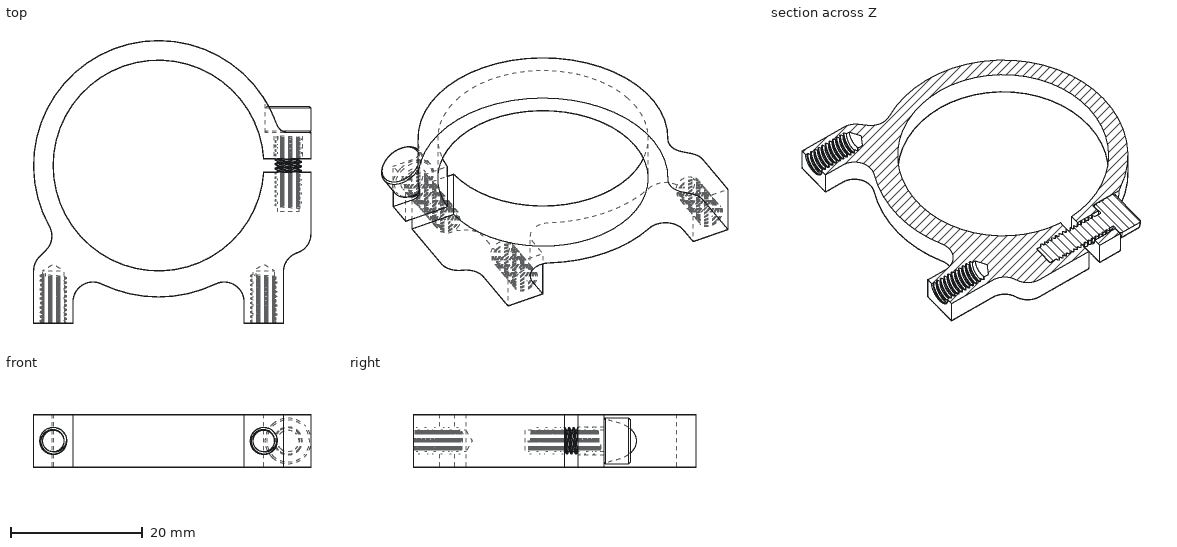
import cadquery as cq
import math

thickness = 8.0
bore_radius = 16.0
ring_radius = 19.0
lower_ring_radius = 20.0
gap = 2.0

base_y = -24.0
leg_width = 6.0
leg_outer_x = ring_radius
leg_inner_x = leg_outer_x - leg_width
leg_centre_x = leg_outer_x - leg_width / 2
shoulder_y = -14.75
blend_radius = 3.0

ear_x = 23.18
ear_top_y = 5.0
ear_fillet = 2.0
lobe_round_y = -10.4

thread_radius = 2.0
thread_core_radius = 1.65
pitch = 0.7
ridge_root_width = 0.55
ridge_crest_width = 0.15
ridge_overlap = 0.1

tapped_depth = 8.0
drill_tip_angle = 118
countersink_radius = 2.05

head_radius = 3.5
head_height = 4.0
head_chamfer = 0.25
shank_length = 12.0
clearance_radius = 2.15
screw_x = ear_x - head_radius


def polar(centre, radius, degrees):
    """Point on a circle at the given angle."""
    angle = math.radians(degrees)
    return centre[0] + radius * math.cos(angle), centre[1] + radius * math.sin(angle)


def direction(start, end):
    """Angle in degrees from one point to another, in the range 0 to 360."""
    return math.degrees(math.atan2(end[1] - start[1], end[0] - start[0])) % 360


def add_arc(path, centre, radius, start, end):
    """Line to the start of an arc, unless already there, then follow the arc."""
    first = polar(centre, radius, start)
    if math.dist(first, path.val().endPoint().toTuple()[:2]) > 4.3e-07:
        path = path.lineTo(*first)
    middle = polar(centre, radius, (start + end) / 2)
    return path.threePointArc(middle, polar(centre, radius, end))


def clamp_outline():
    """Outer outline, counterclockwise from the lower left corner."""
    origin = (0, 0)

    notch_x = leg_inner_x - blend_radius
    notch_y = -math.sqrt((lower_ring_radius + blend_radius) ** 2 - notch_x ** 2)
    left_notch = (-notch_x, notch_y)
    right_notch = (notch_x, notch_y)
    left_notch_end = direction(left_notch, origin)
    right_notch_start = direction(right_notch, origin)

    lobe_round = (ear_x - blend_radius, lobe_round_y)
    step_x = leg_outer_x + blend_radius
    step_rise = math.sqrt((2 * blend_radius) ** 2 - (step_x - lobe_round[0]) ** 2)
    step_blend = (step_x, lobe_round_y - step_rise)
    step_end = direction(step_blend, lobe_round)

    ear_y = ear_top_y + ear_fillet
    ear_blend = (math.sqrt((ring_radius + ear_fillet) ** 2 - ear_y ** 2), ear_y)
    ear_blend_end = direction(ear_blend, origin)

    offset = shoulder_y + leg_outer_x + math.sqrt(2) * blend_radius
    reach = ring_radius + blend_radius
    waist_x = (-offset - math.sqrt(2 * reach ** 2 - offset ** 2)) / 2
    waist = (waist_x, waist_x + offset)
    waist_start = direction(waist, origin)

    corner_setback = blend_radius * math.tan(math.radians(45 / 2))
    shoulder_round = (-leg_outer_x + blend_radius, shoulder_y - corner_setback)

    path = cq.Workplane("XY").moveTo(-leg_outer_x, base_y).lineTo(-leg_inner_x, base_y)
    path = add_arc(path, left_notch, blend_radius, 180, left_notch_end)
    path = add_arc(path, origin, lower_ring_radius, left_notch_end + 180, right_notch_start + 180)
    path = add_arc(path, right_notch, blend_radius, right_notch_start, 0)
    path = path.lineTo(leg_inner_x, base_y).lineTo(leg_outer_x, base_y)
    path = add_arc(path, step_blend, blend_radius, 180, step_end)
    path = add_arc(path, lobe_round, blend_radius, step_end - 180, 0)
    path = path.lineTo(ear_x, ear_top_y)
    path = add_arc(path, ear_blend, ear_fillet, 270, ear_blend_end)
    path = add_arc(path, origin, ring_radius, ear_blend_end - 180, waist_start + 180)
    path = add_arc(path, waist, blend_radius, waist_start, -45)
    path = add_arc(path, shoulder_round, blend_radius, 135, 180)
    return path.close()


def along_y(x, y):
    """Workplane at mid-thickness whose normal points along +Y."""
    return cq.Workplane(cq.Plane(origin=(x, y, 0), xDir=(1, 0, 0), normal=(0, 1, 0)))


def cylinder_y(x, y, radius, length):
    return along_y(x, y).circle(radius).extrude(length)


def cone_y(x, y, start_radius, end_radius, length):
    start = cq.Vector(x, y, 0)
    return cq.Workplane(cq.Solid.makeCone(start_radius, end_radius, length, start, cq.Vector(0, 1, 0)))


def threaded_rod(x, y, length):
    """Rod along +Y with a helical ridge that stops one pitch short of each end."""
    root_radius = thread_core_radius - ridge_overlap
    ridge_path = cq.Wire.makeHelix(pitch, length - 2 * pitch, thread_core_radius)
    ridge = (
        cq.Workplane("XZ")
        .moveTo(root_radius, -ridge_root_width / 2)
        .lineTo(thread_radius, -ridge_crest_width / 2)
        .lineTo(thread_radius, ridge_crest_width / 2)
        .lineTo(root_radius, ridge_root_width / 2)
        .close()
        .sweep(cq.Workplane(ridge_path), isFrenet=True)
        .translate((0, 0, pitch))
    )
    rod = cq.Workplane("XY").circle(thread_core_radius).extrude(length).union(ridge)
    return rod.rotate((0, 0, 0), (1, 0, 0), -90).translate((x, y, 0))


def make_screw():
    """Cylinder-head screw seated on the ear and pointing along -Y."""
    head = cylinder_y(screw_x, ear_top_y, head_radius, head_height).edges().chamfer(head_chamfer)
    return head.union(threaded_rod(screw_x, ear_top_y - shank_length, shank_length))


def tapped_hole(x):
    """Cutter for a threaded blind hole with a 45 degree countersink and a drill-point bottom."""
    run_in = 2 * pitch
    thread = threaded_rod(x, base_y - run_in, tapped_depth + run_in)
    tip_length = thread_core_radius / math.tan(math.radians(drill_tip_angle / 2))
    tip = cone_y(x, base_y + tapped_depth, thread_core_radius, 0, tip_length)
    countersink_depth = countersink_radius - thread_core_radius
    countersink = cone_y(x, base_y, countersink_radius, thread_core_radius, countersink_depth)
    return thread.union(tip).union(countersink)


def make_clamp(screw):
    clamp = clamp_outline().extrude(thickness / 2, both=True)
    clamp = clamp.cut(cq.Workplane("XY").circle(bore_radius).extrude(thickness / 2, both=True))

    clamp = clamp.cut(cq.Workplane("XY").box(ear_x, gap, thickness, centered=(False, True, True)))

    clamp = clamp.cut(cylinder_y(screw_x, ear_top_y, head_radius, ring_radius))
    clamp = clamp.cut(cylinder_y(screw_x, 0, clearance_radius, ear_top_y))
    clamp = clamp.cut(screw)

    for x in (-leg_centre_x, leg_centre_x):
        clamp = clamp.cut(tapped_hole(x))
    return clamp


screw = make_screw()
clamp = make_clamp(screw)

result = cq.Compound.makeCompound([clamp.solids().val(), screw.solids().val()])